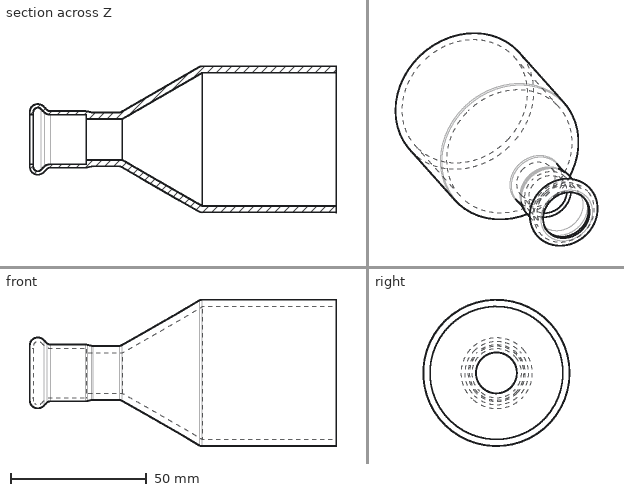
import cadquery as cq
import math


total_length = 113.0
spigot_radius = 54.0 / 2
cone_angle = math.radians(30.0)

socket_radius = 21.0 / 2
socket_bore_radius = 18.2 / 2
socket_wall = socket_radius - socket_bore_radius
bead_tube_radius = 3.0
bead_ring_radius = 10.1
bead_flank_angle = math.radians(45.0)
bead_blend_radius = 1.8

neck_radius = 20.0 / 2
neck_bore_radius = 15.0 / 2
neck_wall = neck_radius - neck_bore_radius
shoulder_start = 20.85
shoulder_length = 2.1
shoulder_blend_radius = 3.0

cone_start = 33.45
cone_blend_radius = 1.8


def cone_length(start_radius, end_radius):
    """Axial length of the cone between two radii."""
    return (end_radius - start_radius) / math.tan(cone_angle)


def bead_point(tube_radius, angle):
    """Point on the bead's tube circle, its angle measured from +X towards larger radius."""
    return (
        bead_tube_radius + tube_radius * math.cos(angle),
        bead_ring_radius + tube_radius * math.sin(angle),
    )


def flank_corner(tube_radius, wall_radius):
    """Sharp corner where the bead's straight flank would meet the socket wall."""
    flank_x, flank_r = bead_point(tube_radius, bead_flank_angle)
    return (flank_x + (flank_r - wall_radius) * math.tan(bead_flank_angle), wall_radius)


def point_towards(origin, target, distance):
    """Point at a given distance from origin on the way to target."""
    span = math.dist(origin, target)
    return tuple(o + (t - o) * distance / span for o, t in zip(origin, target))


def rounded_corner(profile, before, corner, after, radius):
    """Draw a line from before up to a tangent arc that rounds the corner towards after."""
    incoming = math.atan2(corner[1] - before[1], corner[0] - before[0])
    outgoing = math.atan2(after[1] - corner[1], after[0] - corner[0])
    half_turn = abs(outgoing - incoming) / 2
    setback = radius * math.tan(half_turn)
    arc_start = point_towards(corner, before, setback)
    arc_end = point_towards(corner, after, setback)
    chord_middle = tuple((a + b) / 2 for a, b in zip(arc_start, arc_end))
    corner_gap = radius / math.cos(half_turn) - radius
    arc_middle = point_towards(corner, chord_middle, corner_gap)
    return profile.lineTo(*arc_start).threePointArc(arc_middle, arc_end)


def bead_arc(profile, tube_radius):
    """Draw the bead's arc from its front tangent point to the start of its flank."""
    return profile.threePointArc(
        bead_point(tube_radius, (math.pi + bead_flank_angle) / 2),
        bead_point(tube_radius, bead_flank_angle),
    )


def outer_body():
    """Solid outer shape: bead, socket, shoulder, neck, cone and spigot."""
    flank_start = bead_point(bead_tube_radius, bead_flank_angle)
    path = [
        flank_start,
        flank_corner(bead_tube_radius, socket_radius),
        (shoulder_start, socket_radius),
        (shoulder_start + shoulder_length, neck_radius),
        (cone_start, neck_radius),
        (cone_start + cone_length(neck_radius, spigot_radius), spigot_radius),
        (total_length, spigot_radius),
    ]
    blend_radii = [
        bead_blend_radius,
        shoulder_blend_radius,
        shoulder_blend_radius,
        cone_blend_radius,
        cone_blend_radius,
    ]
    profile = cq.Workplane("XY").moveTo(0, 0).lineTo(0, bead_ring_radius)
    profile = bead_arc(profile, bead_tube_radius)
    for before, corner, after, radius in zip(path, path[1:], path[2:], blend_radii):
        profile = rounded_corner(profile, before, corner, after, radius)
    profile = profile.lineTo(*path[-1]).lineTo(total_length, 0).close()
    return profile.revolve(360, (0, 0, 0), (1, 0, 0))


def inner_cavity():
    """Bore: lip, seal groove parallel to the bead, socket, neck, and cone of constant wall."""
    groove_tube_radius = bead_tube_radius - socket_wall
    groove_corner = flank_corner(groove_tube_radius, socket_bore_radius)
    socket_bottom = (shoulder_start, socket_bore_radius)
    spigot_bore_radius = spigot_radius - neck_wall
    wall_offset = neck_wall * math.tan(cone_angle / 2)
    bore_cone_start = cone_start + wall_offset
    bore_cone_end = bore_cone_start + cone_length(neck_bore_radius, spigot_bore_radius)

    profile = (
        cq.Workplane("XY")
        .moveTo(0, 0)
        .lineTo(0, socket_bore_radius)
        .lineTo(socket_wall, socket_bore_radius)
        .lineTo(socket_wall, bead_ring_radius)
    )
    profile = bead_arc(profile, groove_tube_radius)
    profile = rounded_corner(
        profile,
        bead_point(groove_tube_radius, bead_flank_angle),
        groove_corner,
        socket_bottom,
        bead_blend_radius + socket_wall,
    )
    profile = (
        profile.lineTo(*socket_bottom)
        .lineTo(shoulder_start, neck_bore_radius)
        .lineTo(bore_cone_start, neck_bore_radius)
        .lineTo(bore_cone_end, spigot_bore_radius)
        .lineTo(total_length, spigot_bore_radius)
        .lineTo(total_length, 0)
        .close()
    )
    return profile.revolve(360, (0, 0, 0), (1, 0, 0))


result = outer_body().cut(inner_cavity())